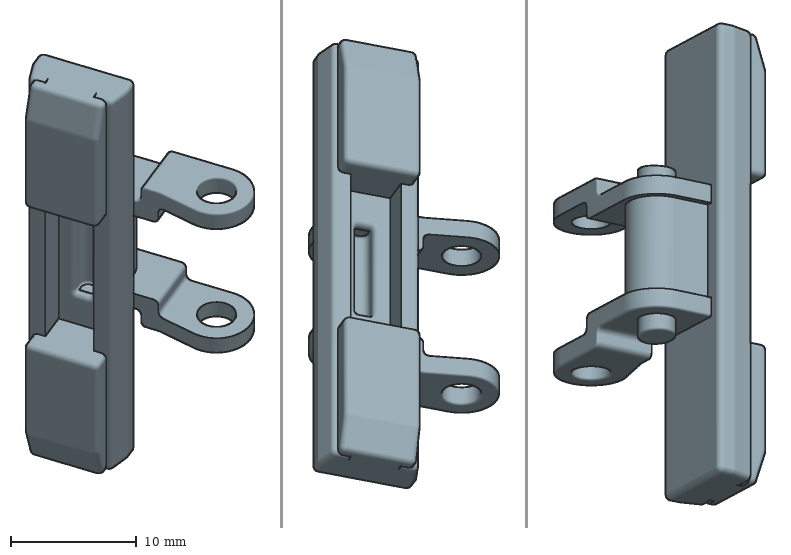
import cadquery as cq
import math

LENGTH = 38.0
BODY_HALF_WIDTH = 4.18
BODY_FRONT_HALF_WIDTH = 3.6
BODY_DEPTH = 3.45
BODY_STRAIGHT_DEPTH = 1.45
EDGE_RADIUS = 0.5

CHANNEL_HALF_WIDTH = 2.13
CHANNEL_DEPTH = 2.47
SLOT_HALF_WIDTH = 0.75
SLOT_HALF_LENGTH = 4.03
SLOT_STRAIGHT_DEPTH = 1.0
SLOT_CORNER_RADIUS = 0.3

PAD_HALF_WIDTH = 3.23
PAD_HEIGHT = 1.7
PAD_INNER_Z = 7.03
PAD_SLOPE_START_Z = 16.07
PAD_SLOPE_DROP = 1.0
PAD_SLOPE_RADIUS = 1.0

HINGE_RADIUS = 3.0
HINGE_Y = 3.23
BARREL_RADIUS = 2.5
PLATE_INNER_Z = 4.0
PLATE_THICKNESS = 1.6
PLATE_STEP_X = 4.1
PLATE_RIGHT_X = 2.62
ARM_FRONT_Y = 1.03
ARM_BEND_X = 5.75
ARM_BEND_RADIUS = 2.0
PIN_RADIUS = 1.52
PIN_TILT = 5.0
LUG_X = 9.75
LUG_HOLE_RADIUS = 1.55
RIM_RADIUS = 0.2

HALF_LENGTH = LENGTH / 2
CHANNEL_FLOOR_Y = CHANNEL_DEPTH - BODY_DEPTH
PLATE_OUTER_Z = PLATE_INNER_Z + PLATE_THICKNESS
ARM_OUTER_Z = PLATE_OUTER_Z + PLATE_THICKNESS
EMBED = 0.38
SELECT_MARGIN = 0.2


def block(x_min, x_max, y_min, y_max, z_min, z_max):
    """Box given by its limits along each axis."""
    size = (x_max - x_min, y_max - y_min, z_max - z_min)
    return cq.Workplane("XY").box(*size, centered=False).translate((x_min, y_min, z_min))


def mirrored_in_z(shape):
    """The shape together with its mirror image below z = 0."""
    return shape.union(shape.mirror("XY"))


def make_bar():
    """Tapered bar with rounded edges, except where the taper begins."""
    bar = (
        cq.Workplane("XY")
        .workplane(offset=-HALF_LENGTH)
        .polyline([
            (-BODY_HALF_WIDTH, 0),
            (BODY_HALF_WIDTH, 0),
            (BODY_HALF_WIDTH, -BODY_STRAIGHT_DEPTH),
            (BODY_FRONT_HALF_WIDTH, -BODY_DEPTH),
            (-BODY_FRONT_HALF_WIDTH, -BODY_DEPTH),
            (-BODY_HALF_WIDTH, -BODY_STRAIGHT_DEPTH),
        ])
        .close()
        .extrude(LENGTH)
    )
    bar = bar.edges("|Z").edges("<Y or >Y").fillet(EDGE_RADIUS)
    return bar.faces("<Z or >Z").edges().fillet(EDGE_RADIUS)


def make_channel():
    """Rectangular channel along the full length of the bar's front."""
    return block(
        -CHANNEL_HALF_WIDTH, CHANNEL_HALF_WIDTH, -BODY_DEPTH, CHANNEL_FLOOR_Y, -HALF_LENGTH, HALF_LENGTH
    )


def make_slot():
    """Round-bottomed slot with rounded ends, cut back from the channel floor."""
    bottom_y = CHANNEL_FLOOR_Y + SLOT_STRAIGHT_DEPTH + SLOT_HALF_WIDTH
    trough = (
        cq.Workplane("XY")
        .workplane(offset=-SLOT_HALF_LENGTH)
        .moveTo(-SLOT_HALF_WIDTH, CHANNEL_FLOOR_Y)
        .lineTo(SLOT_HALF_WIDTH, CHANNEL_FLOOR_Y)
        .lineTo(SLOT_HALF_WIDTH, bottom_y - SLOT_HALF_WIDTH)
        .threePointArc((0, bottom_y), (-SLOT_HALF_WIDTH, bottom_y - SLOT_HALF_WIDTH))
        .close()
        .extrude(2 * SLOT_HALF_LENGTH)
    )
    return trough.faces("<Z or >Z").edges("not <Y").fillet(SLOT_CORNER_RADIUS)


def round_slot_mouth(body):
    """Flare the slot out into the channel floor."""
    reach_x = SLOT_HALF_WIDTH + SELECT_MARGIN
    reach_z = SLOT_HALF_LENGTH + SELECT_MARGIN
    mouth_edges = cq.selectors.BoxSelector(
        (-reach_x, CHANNEL_FLOOR_Y - SELECT_MARGIN, -reach_z),
        (reach_x, CHANNEL_FLOOR_Y + SELECT_MARGIN, reach_z),
    )
    return body.edges(mouth_edges).fillet(EDGE_RADIUS)


def make_upper_pad():
    """Rounded pad with a sloped outer end and a plug that fills the channel."""
    front_y = -BODY_DEPTH - PAD_HEIGHT
    pad = (
        cq.Workplane("YZ")
        .workplane(offset=-PAD_HALF_WIDTH)
        .polyline([
            (-BODY_DEPTH, PAD_INNER_Z),
            (front_y, PAD_INNER_Z),
            (front_y, PAD_SLOPE_START_Z),
            (front_y + PAD_SLOPE_DROP, HALF_LENGTH),
            (-BODY_DEPTH, HALF_LENGTH),
        ])
        .close()
        .extrude(2 * PAD_HALF_WIDTH)
    )
    slope_start = cq.selectors.NearestToPointSelector((0, front_y, PAD_SLOPE_START_Z))
    pad = pad.edges(slope_start).fillet(PAD_SLOPE_RADIUS)
    pad = pad.edges("not (>Y or (|X and (not (<Z or >Z))))").fillet(EDGE_RADIUS)
    plug = block(
        -CHANNEL_HALF_WIDTH, CHANNEL_HALF_WIDTH, -BODY_DEPTH, CHANNEL_FLOOR_Y, PAD_INNER_Z, HALF_LENGTH
    )
    return pad.union(plug)


def make_barrel():
    """Barrel between the plates, running straight into the body."""
    return (
        cq.Workplane("XY")
        .workplane(offset=-PLATE_INNER_Z)
        .moveTo(-BARREL_RADIUS, -EMBED)
        .lineTo(BARREL_RADIUS, -EMBED)
        .lineTo(BARREL_RADIUS, HINGE_Y)
        .threePointArc((0, HINGE_Y + BARREL_RADIUS), (-BARREL_RADIUS, HINGE_Y))
        .close()
        .extrude(2 * PLATE_INNER_Z)
    )


def plate_outline():
    """Outline of plate and arm in X and Y, as a tall prism."""
    back_y = HINGE_Y + HINGE_RADIUS
    run = LUG_X - ARM_BEND_X
    rise = HINGE_Y - ARM_FRONT_Y
    slant = math.asin(HINGE_RADIUS / math.hypot(run, rise)) - math.atan2(rise, run)
    tangent_x = LUG_X - HINGE_RADIUS * math.sin(slant)
    tangent_y = HINGE_Y - HINGE_RADIUS * math.cos(slant)
    diagonal = HINGE_RADIUS * math.sqrt(0.5)
    prism = (
        cq.Workplane("XY")
        .moveTo(-HINGE_RADIUS, -EMBED)
        .lineTo(PLATE_RIGHT_X, -EMBED)
        .lineTo(PLATE_RIGHT_X, ARM_FRONT_Y)
        .lineTo(ARM_BEND_X, ARM_FRONT_Y)
        .lineTo(tangent_x, tangent_y)
        .threePointArc((LUG_X + HINGE_RADIUS, HINGE_Y), (LUG_X, back_y))
        .lineTo(0, back_y)
        .threePointArc((-diagonal, HINGE_Y + diagonal), (-HINGE_RADIUS, HINGE_Y))
        .close()
        .extrude(ARM_OUTER_Z)
    )
    inner_corner = cq.selectors.NearestToPointSelector((PLATE_RIGHT_X, ARM_FRONT_Y, ARM_OUTER_Z / 2))
    bend = cq.selectors.NearestToPointSelector((ARM_BEND_X, ARM_FRONT_Y, ARM_OUTER_Z / 2))
    return prism.edges(inner_corner).fillet(EDGE_RADIUS).edges(bend).fillet(ARM_BEND_RADIUS)


def plate_step():
    """Profile of plate and arm in X and Z: a flat strip with one rounded step."""
    x_min = -HINGE_RADIUS
    x_max = LUG_X + HINGE_RADIUS
    inner_step_x = PLATE_STEP_X + PLATE_THICKNESS
    strip = (
        cq.Workplane("XZ")
        .workplane(offset=EMBED)
        .polyline([
            (x_min, PLATE_INNER_Z),
            (inner_step_x, PLATE_INNER_Z),
            (inner_step_x, PLATE_OUTER_Z),
            (x_max, PLATE_OUTER_Z),
            (x_max, ARM_OUTER_Z),
            (PLATE_STEP_X, ARM_OUTER_Z),
            (PLATE_STEP_X, PLATE_OUTER_Z),
            (x_min, PLATE_OUTER_Z),
        ])
        .close()
        .extrude(-(EMBED + HINGE_Y + HINGE_RADIUS))
    )
    return strip.edges("|Y").edges("not (<X or >X)").fillet(EDGE_RADIUS)


def make_upper_pin():
    """Pin whose rounded end slopes down away from the lug."""
    pin_drop = 2 * PIN_RADIUS * math.tan(math.radians(PIN_TILT))
    sloped_end = (
        cq.Workplane("XZ")
        .workplane(offset=-HINGE_Y - PIN_RADIUS)
        .polyline([
            (-PIN_RADIUS, PLATE_INNER_Z),
            (PIN_RADIUS, PLATE_INNER_Z),
            (PIN_RADIUS, ARM_OUTER_Z),
            (-PIN_RADIUS, ARM_OUTER_Z - pin_drop),
        ])
        .close()
        .extrude(2 * PIN_RADIUS)
    )
    pin = (
        cq.Workplane("XY")
        .workplane(offset=PLATE_INNER_Z)
        .center(0, HINGE_Y)
        .circle(PIN_RADIUS)
        .extrude(ARM_OUTER_Z - PLATE_INNER_Z)
        .intersect(sloped_end)
    )
    return pin.faces(">Z").edges().fillet(RIM_RADIUS)


def make_upper_plate():
    """Stepped plate with a pin at one end and a holed lug at the other."""
    plate = plate_outline().intersect(plate_step())
    plate = plate.faces(">Z").edges(">X").fillet(RIM_RADIUS)
    hole = cq.Workplane("XY").center(LUG_X, HINGE_Y).circle(LUG_HOLE_RADIUS).extrude(ARM_OUTER_Z)
    plate = plate.cut(hole)
    hole_rim = cq.selectors.RadiusNthSelector(0)
    plate = plate.faces(">Z").edges(hole_rim).fillet(RIM_RADIUS)
    return plate.union(make_upper_pin())


body = make_bar().union(make_barrel()).cut(make_channel())
body = round_slot_mouth(body.cut(make_slot()))
result = body.union(mirrored_in_z(make_upper_pad())).union(mirrored_in_z(make_upper_plate()))